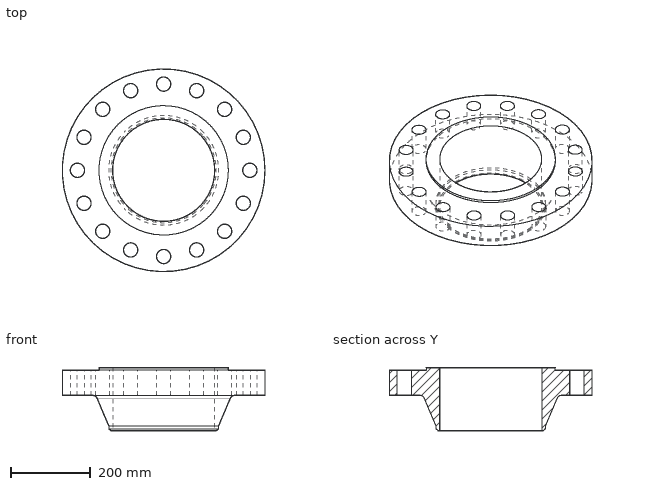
import cadquery as cq
import math

flange_diameter = 508.0
flange_thickness = 63.5
face_diameter = 324.0
face_height = 6.0
total_height = 158.5
bore_diameter = 255.0

hub_base_diameter = 340.5
weld_end_diameter = 275.5
weld_end_length = 12.0
weld_bevel_width = 6.0
weld_bevel_height = 5.0
hub_fillet = 12.5

bolt_count = 16
bolt_circle_diameter = 432.0
bolt_hole_diameter = 35.0

flange_top = total_height - face_height
flange_bottom = flange_top - flange_thickness
flange_radius = flange_diameter / 2
face_radius = face_diameter / 2
hub_base_radius = hub_base_diameter / 2
weld_end_radius = weld_end_diameter / 2
bore_radius = bore_diameter / 2

hub_slope = math.atan2(flange_bottom - weld_end_length, hub_base_radius - weld_end_radius)
tangent_length = hub_fillet * math.tan(hub_slope / 2)
fillet_start = (
    hub_base_radius - tangent_length * math.cos(hub_slope),
    flange_bottom - tangent_length * math.sin(hub_slope),
)
fillet_end = (hub_base_radius + tangent_length, flange_bottom)
fillet_middle = (
    fillet_end[0] - hub_fillet * math.sin(hub_slope / 2),
    flange_bottom - hub_fillet * (1 - math.cos(hub_slope / 2)),
)

body = (
    cq.Workplane("XZ")
    .moveTo(bore_radius, 0)
    .lineTo(weld_end_radius - weld_bevel_width, 0)
    .lineTo(weld_end_radius, weld_bevel_height)
    .lineTo(weld_end_radius, weld_end_length)
    .lineTo(*fillet_start)
    .threePointArc(fillet_middle, fillet_end)
    .lineTo(flange_radius, flange_bottom)
    .lineTo(flange_radius, flange_top)
    .lineTo(face_radius, flange_top)
    .lineTo(face_radius, total_height)
    .lineTo(bore_radius, total_height)
    .close()
    .revolve(360, (0, 0, 0), (0, 1, 0))
)

bolt_holes = (
    cq.Workplane("XY")
    .polarArray(bolt_circle_diameter / 2, 0, 360, bolt_count)
    .circle(bolt_hole_diameter / 2)
    .extrude(total_height)
)

result = body.cut(bolt_holes)